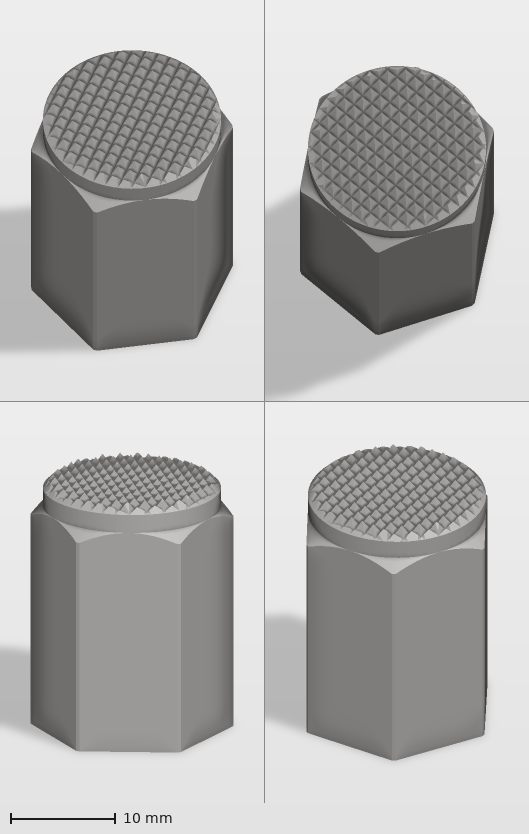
import cadquery as cq
import math

ACROSS_FLATS = 17.0
ACROSS_CORNERS = 19.4

CORNER_TOP = 20.92
COLLAR_BOTTOM = 22.0
COLLAR_TOP = 23.8
TIP_HEIGHT = 24.9

TEETH_PER_DIAMETER = 14
ROW_SHIFT_X = -0.05
RIM_BEVEL_ANGLE = 45.0

collar_radius = ACROSS_FLATS / 2
corner_radius = ACROSS_CORNERS / 2
hexagon_diameter = ACROSS_FLATS / math.cos(math.radians(30))
tooth_pitch = ACROSS_FLATS / TEETH_PER_DIAMETER
rim_cone_top = COLLAR_TOP + collar_radius * math.tan(math.radians(RIM_BEVEL_ANGLE))


def turned_envelope():
    """Round blank: trimmed corners, top bevel, collar and the cone over the teeth."""
    return (
        cq.Workplane("XZ")
        .moveTo(0, 0)
        .lineTo(corner_radius, 0)
        .lineTo(corner_radius, CORNER_TOP)
        .lineTo(collar_radius, COLLAR_BOTTOM)
        .lineTo(collar_radius, COLLAR_TOP)
        .lineTo(0, rim_cone_top)
        .close()
        .revolve(360, (0, 0), (0, 1))
    )


def hexagon():
    """Hexagonal bar with two corners on the Y axis, taller than the envelope."""
    return (
        cq.Workplane("XY")
        .polygon(6, hexagon_diameter)
        .extrude(rim_cone_top)
        .rotate((0, 0, 0), (0, 0, 1), 30)
    )


def ridged_block(plane, tooth_count, shift):
    """Block topped by parallel sharp ridges with V grooves between, wider than the part."""
    left_edge = shift - tooth_count * tooth_pitch / 2
    outline = [(left_edge, 0), (left_edge, COLLAR_TOP)]
    for index in range(tooth_count):
        outline.append((left_edge + (index + 0.5) * tooth_pitch, TIP_HEIGHT))
        outline.append((left_edge + (index + 1) * tooth_pitch, COLLAR_TOP))
    outline.append((left_edge + tooth_count * tooth_pitch, 0))
    return cq.Workplane(plane).polyline(outline).close().extrude(ACROSS_CORNERS, both=True)


teeth_along_x = TEETH_PER_DIAMETER + 3
teeth_along_y = TEETH_PER_DIAMETER + 4

result = (
    turned_envelope()
    .intersect(hexagon())
    .intersect(ridged_block("XZ", teeth_along_x, ROW_SHIFT_X))
    .intersect(ridged_block("YZ", teeth_along_y, 0))
)